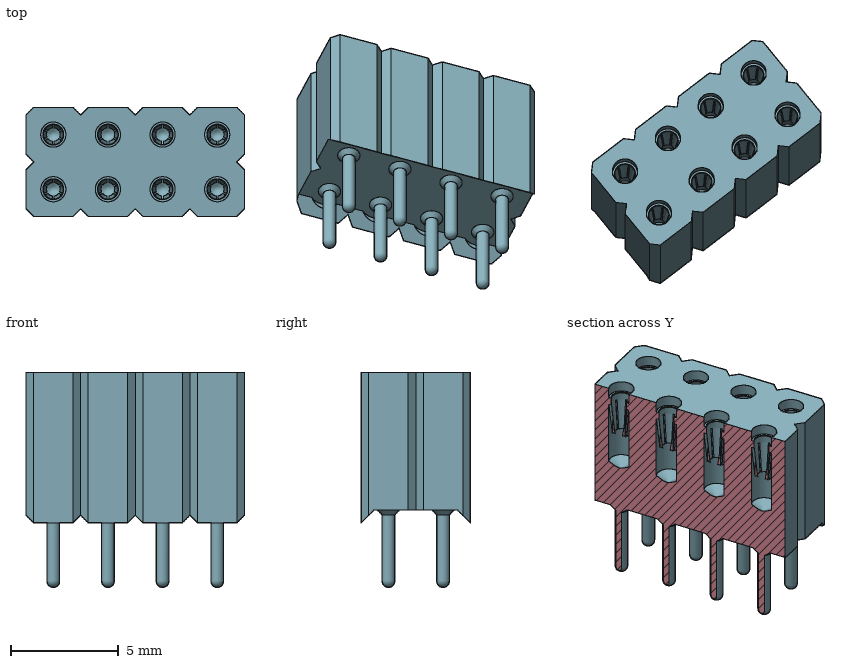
import cadquery as cq
import math

pitch = 2.54
columns = 4
rows = 2

housing_height = 7.0
socket_diameter = 1.83
notch_depth = (pitch - socket_diameter) / 2
skirt_height = 0.6

pin_diameter = 0.6
pin_length = 3.0
collar_height = 0.22
collar_diameter = pin_diameter + 2 * collar_height

bore_diameter = 1.17
bore_depth = 4.0
drill_point_angle = 118.0
clip_depth = 0.5
clip_mouth_diameter = 0.97
clip_diameter = 0.93
clip_lead_in = 0.03
clip_ring_height = 0.4
finger_count = 6
finger_tip_diameter = 0.63
finger_length = 1.5
slot_width = 0.08

length = columns * pitch
width = rows * pitch
underside_z = skirt_height
contact_centers = [
    ((column - (columns - 1) / 2) * pitch, (row - (rows - 1) / 2) * pitch)
    for column in range(columns)
    for row in range(rows)
]


def revolve_profile(profile):
    """Turn a closed (radius, Z) profile about the Z axis."""
    return profile.close().revolve(360, (0, 0, 0), (0, 1, 0))


def make_housing():
    """Block with V notches at every pitch, a chamfered outline and a channel underneath."""
    housing = cq.Workplane("XY").box(length, width, housing_height, centered=(True, True, False))

    notch_positions = [((i - columns / 2) * pitch, side * width / 2)
                       for i in range(columns + 1) for side in (-1, 1)]
    notch_positions += [(side * length / 2, (i - rows / 2) * pitch)
                        for i in range(1, rows) for side in (-1, 1)]
    notches = (
        cq.Workplane("XY")
        .pushPoints(notch_positions)
        .polygon(4, 2 * notch_depth)
        .extrude(housing_height)
    )

    channel_half_width = width / 2 - skirt_height
    channel = (
        cq.Workplane("YZ")
        .moveTo(-width / 2, 0)
        .lineTo(-channel_half_width, underside_z)
        .lineTo(channel_half_width, underside_z)
        .lineTo(width / 2, 0)
        .close()
        .extrude(length / 2, both=True)
    )
    socket_holes = (
        cq.Workplane("XY")
        .pushPoints(contact_centers)
        .circle(socket_diameter / 2)
        .extrude(housing_height)
    )
    return housing.cut(notches).cut(channel).cut(socket_holes)


def make_socket():
    """Turned contact: drilled barrel flush with the housing, conical collar and round-ended pin."""
    pin_radius = pin_diameter / 2
    bore_radius = bore_diameter / 2
    bore_end_z = housing_height - bore_depth
    drill_point_height = bore_radius / math.tan(math.radians(drill_point_angle / 2))
    tip_corner_offset = pin_radius * math.sqrt(0.5)
    tip_center_z = -pin_length + pin_radius

    return revolve_profile(
        cq.Workplane("XZ")
        .moveTo(0, -pin_length)
        .threePointArc((tip_corner_offset, tip_center_z - tip_corner_offset), (pin_radius, tip_center_z))
        .lineTo(pin_radius, underside_z - collar_height)
        .lineTo(collar_diameter / 2, underside_z)
        .lineTo(socket_diameter / 2, underside_z)
        .lineTo(socket_diameter / 2, housing_height)
        .lineTo(bore_radius, housing_height)
        .lineTo(bore_radius, bore_end_z)
        .lineTo(0, bore_end_z - drill_point_height)
    )


def make_clip():
    """Spring clip: a ring with a lead-in, seated down the bore, and fingers leaning inward below it."""
    outer_radius = bore_diameter / 2
    inner_radius = clip_diameter / 2
    tip_radius = finger_tip_diameter / 2
    thickness = outer_radius - inner_radius
    top_z = housing_height - clip_depth
    ring_end_z = top_z - clip_ring_height
    tip_z = ring_end_z - finger_length
    clip = revolve_profile(
        cq.Workplane("XZ")
        .moveTo(outer_radius, top_z)
        .lineTo(clip_mouth_diameter / 2, top_z)
        .lineTo(inner_radius, top_z - clip_lead_in)
        .lineTo(inner_radius, ring_end_z)
        .lineTo(tip_radius, tip_z)
        .lineTo(tip_radius + thickness, tip_z)
        .lineTo(outer_radius, ring_end_z)
    )
    slots = (
        cq.Workplane("XY", origin=(0, 0, tip_z))
        .polarArray(outer_radius / 2, 90, 360, finger_count)
        .rect(outer_radius, slot_width)
        .extrude(finger_length)
    )
    return clip.cut(slots)


contact = make_socket().union(make_clip())

result = make_housing()
for center_x, center_y in contact_centers:
    result = result.union(contact.translate((center_x, center_y, 0)), clean=False)